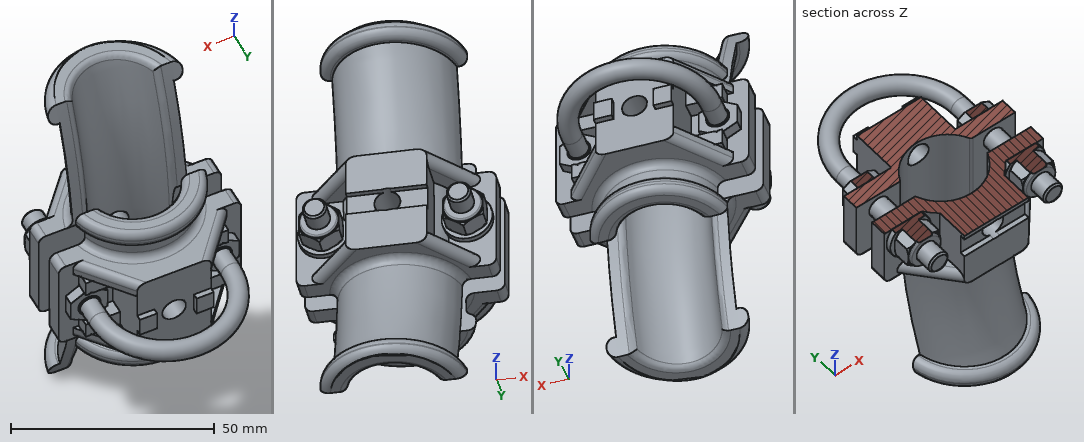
import cadquery as cq
import math

GAP = 6.0
HUB_WIDTH = 50.0
HUB_HEIGHT = 28.0
FLANGE_THICKNESS = 5.0
PAD_WIDTH = 20.2
RIB_THICKNESS = 4.0
RIB_ROUND = RIB_THICKNESS / 2
RIB_FOOT_WIDTH = 42.0
EDGE_ROUND = 2.0
BORE_RADIUS = 12.0
TUBE_RADIUS = 16.0
CENTRE_HOLE_DIAMETER = 6.5
MATE_Y = GAP / 2
FLANGE_Y = MATE_Y + FLANGE_THICKNESS
RIB_INNER_Z = HUB_HEIGHT / 2 - RIB_THICKNESS

KEEPER_PAD_Y = 21.4
KEEPER_AXIS_Y = -1.7
KEEPER_TOP = 25.0
KEEPER_BEAD_RADIUS = 18.4
KEEPER_BEAD_LOW = 22.1
KEEPER_NECK_TOP = 18.5
KEEPER_BORE_ROUND = 0.8
WALL_REACH = 19.5
WALL_HEIGHT = 4.0
WALL_GAP = 11.0
TENON_WIDTH = 5.6
TENON_HEIGHT = 1.5
TENON_GAP = 10.8

TRUNK_PAD_Y = 20.8
TRUNK_AXIS_Y = 1.3
TRUNK_EDGE_Y = -2.2
BEND_RADIUS = 135.0
TRUNK_TOP = 50.0
TRUNK_BEAD_RADIUS = 18.6
TRUNK_BEAD_HEIGHT = 5.0
TRUNK_BEAD_ROUND = 2.4
TRUNK_BEAD_AXIS_Y = -8.2
GROOVE_WIDTH = 6.2
GROOVE_DEPTH = 1.5

LEG_X = 18.0
ROD_DIAMETER = 5.3
THREAD_DIAMETER = 6.0
BEND_Y = 16.3
THREAD_END_Y = -20.8
THREAD_CHAMFER = 0.5
HEX_ACROSS_CORNERS = 11.6
HEAD_TOP_Y = 10.8
THREAD_RUNOUT = 0.3
WASHER_DIAMETER = 12.7
WASHER_THICKNESS = 1.5
NUT_HEIGHT = 5.3
NUT_CHAMFER = 0.6
COLLAR_DIAMETER = 9.8
COLLAR_HEIGHT = 0.8
COLLAR_ROUND = 0.4

BEND_OVERRUN = 1.3
TOLERANCE = 0.01
RIM_ALLOWANCE = 1.0
FAR = 100.0


def block(x_min, x_max, y_min, y_max, z_min, z_max):
    size = (x_max - x_min, y_max - y_min, z_max - z_min)
    return cq.Workplane("XY").box(*size, centered=False).translate((x_min, y_min, z_min))


def y_cylinder(diameter, x, y_low, y_high):
    return cq.Workplane("XZ", origin=(x, y_high, 0)).circle(diameter / 2).extrude(y_high - y_low)


def y_hexagon(x, y_low, y_high):
    """Hexagonal prism along Y with two corners pointing up and down."""
    prism = cq.Workplane("XZ", origin=(0, y_high, 0)).polygon(6, HEX_ACROSS_CORNERS)
    prism = prism.extrude(y_high - y_low)
    return prism.rotate((0, 0, 0), (0, 1, 0), 30).translate((x, 0, 0))


def mirrored_z(body):
    return body.union(body.mirror("XY"))


def rib(pad_y, inner_round):
    """Upper trapezoidal rib on +Y with rounded flanks; the inner side of a flank may stay flat."""
    slope = math.atan((RIB_FOOT_WIDTH - PAD_WIDTH) / 2 / (pad_y - FLANGE_Y))
    inset = RIB_ROUND / math.cos(slope)
    low_y = FLANGE_Y - RIB_ROUND
    high_y = pad_y + RIB_ROUND

    def flank_x(y):
        return PAD_WIDTH / 2 - inset + (pad_y - y) * math.tan(slope)

    def plate(widening, thickness):
        low_x = flank_x(low_y) + widening
        high_x = flank_x(high_y) + widening
        outline = [(-low_x, low_y), (low_x, low_y), (high_x, high_y), (-high_x, high_y)]
        return cq.Workplane("XY", origin=(0, 0, RIB_INNER_Z)).polyline(outline).close().extrude(thickness)

    body = plate(0, RIB_THICKNESS)
    if not inner_round:
        body = body.union(plate(inset, RIB_THICKNESS - RIB_ROUND))
    length = (high_y - low_y) / math.cos(slope)
    for side in (-1, 1):
        axis = cq.Vector(-side * math.sin(slope), math.cos(slope), 0)
        start = cq.Vector(side * flank_x(low_y), low_y, RIB_INNER_Z + RIB_ROUND)
        body = body.union(cq.Workplane(cq.Solid.makeCylinder(RIB_ROUND, length, start, axis)))
    return body.intersect(block(-FAR, FAR, MATE_Y, pad_y, 0, FAR))


def hub(pad_y, inner_round):
    """Solid hub on +Y: flange, centre pad and the two ribs, without any bore."""
    half_x = HUB_WIDTH / 2
    half_z = HUB_HEIGHT / 2
    pad_z = half_z - RIB_ROUND
    flange = block(-half_x, half_x, MATE_Y, FLANGE_Y, -half_z, half_z).edges("|Y").fillet(EDGE_ROUND)
    pad = block(-PAD_WIDTH / 2, PAD_WIDTH / 2, MATE_Y, pad_y, -pad_z, pad_z)
    return flange.union(pad).union(mirrored_z(rib(pad_y, inner_round)))


def hub_tube(axis_y):
    """Tube wall between the ribs, as a solid cylinder."""
    return cq.Workplane("XY").center(0, axis_y).circle(TUBE_RADIUS).extrude(HUB_HEIGHT / 2, both=True)


def keeper_spool():
    """Solid of revolution: flared neck and rolled bead above the hub."""
    hub_top = HUB_HEIGHT / 2
    bead_centre_r = KEEPER_BEAD_RADIUS - EDGE_ROUND
    neck_centre_r = TUBE_RADIUS + EDGE_ROUND
    meet = ((bead_centre_r + neck_centre_r) / 2, (KEEPER_BEAD_LOW + KEEPER_NECK_TOP) / 2)
    turn = math.atan2(KEEPER_BEAD_LOW - KEEPER_NECK_TOP, neck_centre_r - bead_centre_r) / 2
    arc_r = EDGE_ROUND * math.cos(turn)
    arc_z = EDGE_ROUND * math.sin(turn)
    diagonal = EDGE_ROUND * math.sqrt(0.5)
    half = (
        cq.Workplane("XZ")
        .moveTo(0, 0)
        .lineTo(TUBE_RADIUS + EDGE_ROUND, 0)
        .lineTo(TUBE_RADIUS + EDGE_ROUND, hub_top)
        .threePointArc(
            (neck_centre_r - diagonal, hub_top + EDGE_ROUND - diagonal),
            (TUBE_RADIUS, hub_top + EDGE_ROUND),
        )
        .lineTo(TUBE_RADIUS, KEEPER_NECK_TOP)
        .threePointArc((neck_centre_r - arc_r, KEEPER_NECK_TOP + arc_z), meet)
        .threePointArc(
            (bead_centre_r + arc_r, KEEPER_BEAD_LOW - arc_z),
            (KEEPER_BEAD_RADIUS, KEEPER_BEAD_LOW),
        )
        .lineTo(KEEPER_BEAD_RADIUS, KEEPER_TOP - EDGE_ROUND)
        .threePointArc(
            (bead_centre_r + diagonal, KEEPER_TOP - EDGE_ROUND + diagonal),
            (bead_centre_r, KEEPER_TOP),
        )
        .lineTo(0, KEEPER_TOP)
        .close()
        .revolve(360, (0, 0, 0), (0, 1, 0))
    )
    above_hub = block(-FAR, FAR, -FAR, FAR, hub_top, FAR)
    return mirrored_z(half.intersect(above_hub)).translate((0, KEEPER_AXIS_Y, 0))


def keeper_bore():
    return cq.Workplane("XY").center(0, KEEPER_AXIS_Y).circle(BORE_RADIUS).extrude(KEEPER_TOP, both=True)


def keeper_mouth():
    """Rings of material to remove so that both mouths of the bore are rounded."""
    mouth_radius = BORE_RADIUS + EDGE_ROUND
    base = cq.Vector(0, KEEPER_AXIS_Y, KEEPER_TOP - EDGE_ROUND)
    disc = cq.Workplane(cq.Solid.makeCylinder(mouth_radius, EDGE_ROUND, base, cq.Vector(0, 0, 1)))
    rim = cq.Workplane(cq.Solid.makeTorus(mouth_radius, EDGE_ROUND, base, cq.Vector(0, 0, 1)))
    return mirrored_z(disc.cut(rim))


def bore_edges(body):
    """The two long edges where the keeper bore opens at the mating face."""
    opening = math.sqrt(BORE_RADIUS ** 2 - (MATE_Y - KEEPER_AXIS_Y) ** 2)
    return [
        edge
        for edge in body.faces("<Y").edges("|Z").vals()
        if abs(abs(edge.Center().x) - opening) < TOLERANCE
    ]


def make_keeper():
    body = hub(KEEPER_PAD_Y, inner_round=False).union(hub_tube(KEEPER_AXIS_Y)).union(keeper_spool())
    wall_top = FLANGE_Y + WALL_HEIGHT
    tenon_top = KEEPER_PAD_Y + TENON_HEIGHT
    body = body.union(block(-WALL_REACH, WALL_REACH, MATE_Y, wall_top, -RIB_INNER_Z, RIB_INNER_Z))
    for side in (-1, 1):
        near, far = sorted((side * PAD_WIDTH / 2, side * FAR))
        body = body.cut(block(near, far, FLANGE_Y, FAR, -WALL_GAP / 2, WALL_GAP / 2))
        body = body.cut(y_hexagon(side * LEG_X, FLANGE_Y, wall_top))
        body = body.cut(y_cylinder(THREAD_DIAMETER, side * LEG_X, 0, FLANGE_Y))
        near, far = sorted((side * TENON_GAP / 2, side * PAD_WIDTH / 2))
        tenon = block(near, far, KEEPER_PAD_Y, tenon_top, -TENON_WIDTH / 2, TENON_WIDTH / 2)
        body = body.union(tenon)
    body = body.cut(block(-FAR, FAR, -FAR, MATE_Y, -FAR, FAR))
    body = body.cut(keeper_bore())
    body = body.newObject(bore_edges(body)).fillet(KEEPER_BORE_ROUND).cut(keeper_mouth())
    return body.cut(y_cylinder(CENTRE_HOLE_DIAMETER, 0, 0, KEEPER_PAD_Y))


def bend(profile):
    """Sweep an XY profile both ways around the bend axis, past the ends of the trunk."""
    half_angle = math.degrees(math.asin(TRUNK_TOP / BEND_RADIUS)) * BEND_OVERRUN
    axis_y = TRUNK_AXIS_Y - BEND_RADIUS
    swept = profile.revolve(2 * half_angle, (0, axis_y, 0), (1, axis_y, 0))
    return swept.rotate((0, axis_y, 0), (1, axis_y, 0), -half_angle)


def bent_rod(radius):
    rod = bend(cq.Workplane("XY").moveTo(0, TRUNK_AXIS_Y).circle(radius))
    return rod.intersect(block(-FAR, FAR, -FAR, FAR, -TRUNK_TOP, TRUNK_TOP))


def round_rims(body, height, radius):
    """Fillet the rims, of about the given radius, that lie flat at Z = +height and -height."""
    rims = [
        edge
        for edge in body.edges("not %LINE").vals()
        if abs(abs(edge.Center().z) - height) < TOLERANCE
        and edge.BoundingBox().zlen < TOLERANCE
        and edge.BoundingBox().xlen < 2 * radius + RIM_ALLOWANCE
    ]
    return body.newObject(rims).fillet(EDGE_ROUND)


def trunk_bead():
    base = cq.Workplane("XY", origin=(0, TRUNK_BEAD_AXIS_Y, TRUNK_TOP - TRUNK_BEAD_HEIGHT))
    return base.circle(TRUNK_BEAD_RADIUS).extrude(TRUNK_BEAD_HEIGHT).edges().fillet(TRUNK_BEAD_ROUND)


def trunk_opening():
    """Everything on the open side of the trunk, with rounded inner edges along the bore."""
    drop = TRUNK_AXIS_Y - TRUNK_EDGE_Y
    round_drop = drop + EDGE_ROUND
    round_x = math.sqrt((BORE_RADIUS + EDGE_ROUND) ** 2 - round_drop ** 2)
    shrink = BORE_RADIUS / (BORE_RADIUS + EDGE_ROUND)
    touch = (round_x * shrink, TRUNK_AXIS_Y - round_drop * shrink)
    centre = (round_x, TRUNK_AXIS_Y - round_drop)
    touch_angle = math.atan2(touch[1] - centre[1], touch[0] - centre[0])
    middle_angle = (math.pi / 2 + touch_angle) / 2
    middle = (
        centre[0] + EDGE_ROUND * math.cos(middle_angle),
        centre[1] + EDGE_ROUND * math.sin(middle_angle),
    )
    outer = HUB_WIDTH
    profile = (
        cq.Workplane("XY")
        .moveTo(-outer, outer)
        .lineTo(-outer, TRUNK_EDGE_Y)
        .lineTo(-round_x, TRUNK_EDGE_Y)
        .threePointArc((-middle[0], middle[1]), (-touch[0], touch[1]))
        .lineTo(touch[0], touch[1])
        .threePointArc(middle, (round_x, TRUNK_EDGE_Y))
        .lineTo(outer, TRUNK_EDGE_Y)
        .lineTo(outer, outer)
        .close()
    )
    return bend(profile)


def make_trunk_clamp():
    half_z = HUB_HEIGHT / 2
    body = hub(TRUNK_PAD_Y, inner_round=True).mirror("XZ")
    body = body.union(block(-HUB_WIDTH / 2, HUB_WIDTH / 2, -MATE_Y, HUB_WIDTH / 2, -half_z, half_z))
    body = body.union(bent_rod(TUBE_RADIUS))
    body = round_rims(body, half_z, TUBE_RADIUS)
    body = body.union(mirrored_z(trunk_bead()))
    body = body.cut(bent_rod(BORE_RADIUS))
    body = round_rims(body, TRUNK_TOP, BORE_RADIUS)
    body = body.cut(trunk_opening())
    body = body.cut(block(-FAR, FAR, -MATE_Y, FAR, -half_z, half_z))
    body = body.cut(
        block(-FAR, FAR, -TRUNK_PAD_Y, GROOVE_DEPTH - TRUNK_PAD_Y, -GROOVE_WIDTH / 2, GROOVE_WIDTH / 2)
    )
    body = body.cut(y_cylinder(CENTRE_HOLE_DIAMETER, 0, -TRUNK_PAD_Y, 0))
    for side in (-1, 1):
        body = body.cut(y_cylinder(THREAD_DIAMETER, side * LEG_X, -FLANGE_Y, 0))
        body = body.cut(y_cylinder(WASHER_DIAMETER, side * LEG_X, -TRUNK_PAD_Y, -FLANGE_Y))
    return body


def bolt_leg(x):
    """One leg with its hexagonal head, thread, washer and collared nut."""
    washer_y = -FLANGE_Y - WASHER_THICKNESS
    nut_y = washer_y - NUT_HEIGHT
    collar_y = nut_y - COLLAR_HEIGHT
    thread_top = HEAD_TOP_Y + THREAD_RUNOUT
    rod = y_cylinder(ROD_DIAMETER, x, thread_top, BEND_Y)
    head = y_hexagon(x, FLANGE_Y, HEAD_TOP_Y)
    thread = y_cylinder(THREAD_DIAMETER, x, THREAD_END_Y, thread_top).faces("<Y").chamfer(THREAD_CHAMFER)
    washer = y_cylinder(WASHER_DIAMETER, x, washer_y, -FLANGE_Y)
    envelope = y_cylinder(HEX_ACROSS_CORNERS, x, nut_y, washer_y).edges().chamfer(NUT_CHAMFER)
    nut = y_hexagon(x, nut_y, washer_y).intersect(envelope)
    collar = y_cylinder(COLLAR_DIAMETER, x, collar_y, nut_y).faces("<Y").edges().fillet(COLLAR_ROUND)
    return rod.union(head).union(thread).union(washer).union(nut).union(collar)


def make_u_bolt():
    bow = (
        cq.Workplane("XZ", origin=(LEG_X, BEND_Y, 0))
        .circle(ROD_DIAMETER / 2)
        .revolve(180, (-LEG_X, 0, 0), (-LEG_X, 1, 0))
    )
    for side in (-1, 1):
        bow = bow.union(bolt_leg(side * LEG_X))
    return bow


keeper = make_keeper()
trunk_clamp = make_trunk_clamp()
u_bolt = make_u_bolt()

result = cq.Compound.makeCompound([keeper.val(), trunk_clamp.val(), u_bolt.val()])